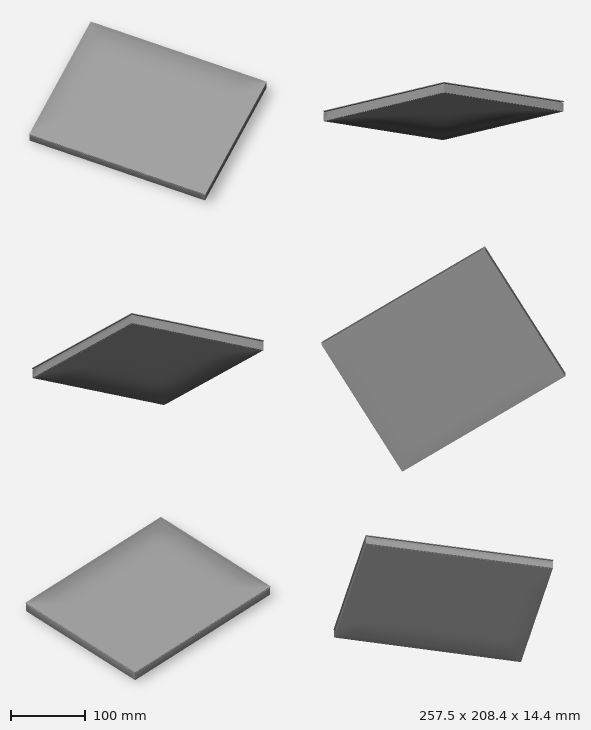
import cadquery as cq

lid_length = 257.5
lid_width = 208.4
lid_thickness = 1.0

lid_overhang = 0.5
core_length = lid_length - 2 * lid_overhang
core_width = lid_width - 2 * lid_overhang
core_thickness = 12.0

backing_inset = 1.5
backing_length = core_length - 2 * backing_inset
backing_width = core_width - 2 * backing_inset
backing_thickness = 0.21

lid_gap = 1.21

core_bottom = backing_thickness
lid_bottom = core_bottom + core_thickness + lid_gap


def rectangular_layer(length, width, thickness, bottom):
    """A flat layer centred on the Z axis with its underside at the given height."""
    return cq.Workplane("XY").workplane(offset=bottom).rect(length, width).extrude(thickness)


backing = rectangular_layer(backing_length, backing_width, backing_thickness, 0)
core = rectangular_layer(core_length, core_width, core_thickness, core_bottom)
lid = rectangular_layer(lid_length, lid_width, lid_thickness, lid_bottom)

result = cq.Compound.makeCompound([backing.val(), core.val(), lid.val()])